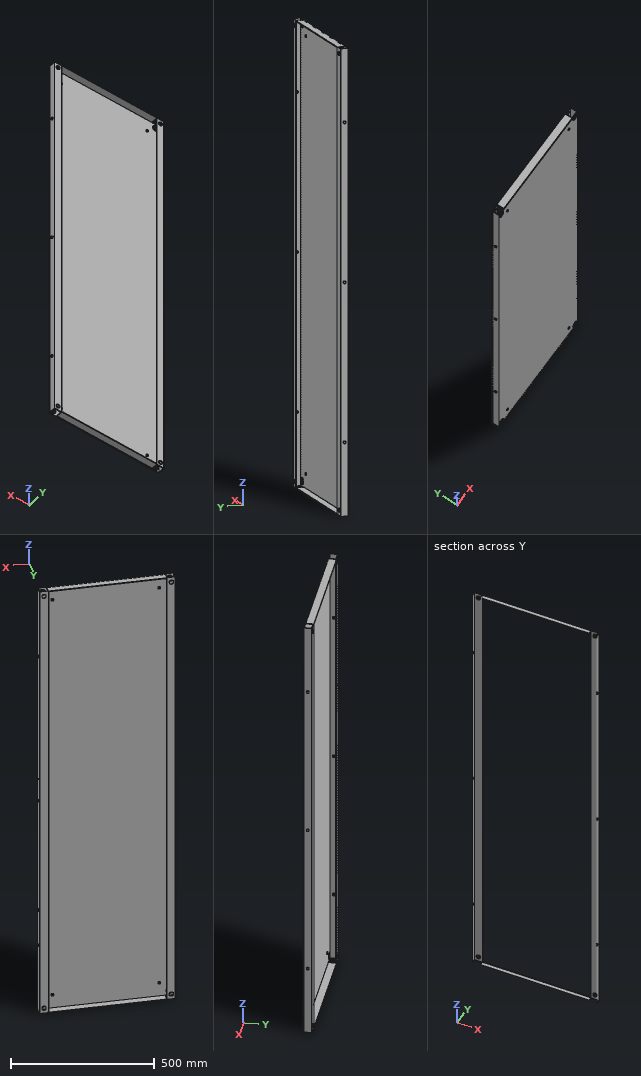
import cadquery as cq

WIDTH = 490.0
DEPTH = 32.0
HEIGHT = 1680.0
SHEET = 3.0

LIP_WIDTH = 34.0
END_FLANGE_INSET = 32.0

CORNER_HOLE_DIAMETER = 24.0
LIP_HOLE_DIAMETER = 15.0
CORNER_HOLE_EDGE_X = 17.0
CORNER_HOLE_EDGE_Z = 20.0

FACE_HOLE_DIAMETER = 9.0
FACE_HOLE_EDGE = 54.0
SIDE_HOLE_DIAMETER = 9.5
SIDE_HOLE_SPACING = 575.0

FRONT_Y = -DEPTH / 2
BACK_Y = DEPTH / 2


def block(x_size, y_size, z_size, center):
    return cq.Workplane("XY").box(x_size, y_size, z_size).translate(center)


def face_cutter(x, z, diameter, start_y, length):
    """Cylinder along +Y, starting at start_y."""
    axis = cq.Vector(0, 1, 0)
    return cq.Workplane(cq.Solid.makeCylinder(diameter / 2, length, cq.Vector(x, start_y, z), axis))


def folded_panel():
    """Flat face with side walls, inward back lips and end flanges."""
    channel = block(WIDTH, DEPTH, HEIGHT, (0, 0, 0))
    cavity = block(WIDTH - 2 * SHEET, DEPTH - 2 * SHEET, HEIGHT, (0, 0, 0))
    channel = channel.cut(cavity)
    back_opening = block(WIDTH - 2 * LIP_WIDTH, SHEET, HEIGHT, (0, BACK_Y - SHEET / 2, 0))
    panel = channel.cut(back_opening)

    flange_width = WIDTH - 2 * END_FLANGE_INSET
    for side in (-1, 1):
        flange_z = side * (HEIGHT - SHEET) / 2
        flange = block(flange_width, DEPTH, SHEET, (0, 0, flange_z))
        panel = panel.union(flange)
    return panel


def cut_face_holes(panel):
    """Corner holes and fixing holes, mirrored to all four corners."""
    corner_x = WIDTH / 2 - CORNER_HOLE_EDGE_X
    corner_z = HEIGHT / 2 - CORNER_HOLE_EDGE_Z
    fixing_x = WIDTH / 2 - FACE_HOLE_EDGE
    fixing_z = HEIGHT / 2 - FACE_HOLE_EDGE
    for sx in (-1, 1):
        for sz in (-1, 1):
            x, z = sx * corner_x, sz * corner_z
            panel = panel.cut(face_cutter(x, z, CORNER_HOLE_DIAMETER, FRONT_Y, SHEET))
            panel = panel.cut(face_cutter(x, z, LIP_HOLE_DIAMETER, BACK_Y - SHEET, SHEET))
            x, z = sx * fixing_x, sz * fixing_z
            panel = panel.cut(face_cutter(x, z, FACE_HOLE_DIAMETER, FRONT_Y, SHEET))
    return panel


def cut_side_holes(panel):
    """Three fixing holes along the middle of both side walls."""
    cutter = (
        cq.Workplane("YZ")
        .rarray(17, SIDE_HOLE_SPACING, 1, 3)
        .circle(SIDE_HOLE_DIAMETER / 2)
        .extrude(WIDTH / 2, both=True)
    )
    return panel.cut(cutter)


result = cut_side_holes(cut_face_holes(folded_panel()))